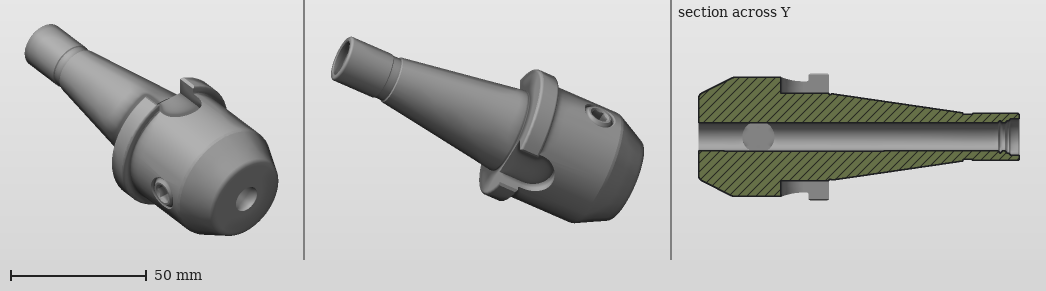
import cadquery as cq
import math

select_margin = 0.06

length = 118.4
tail_end = 17.2
cone_start = 21.1
cone_end = 69.1
flange_start = 70.2
flange_end = 77.8
flat_start = 80.0
nose_start = 105.6

tail_radius = 8.8
groove_radius = 8.4
groove_chamfer = tail_radius - groove_radius
taper_radius = 16.0
taper_slope = 7 / 48
cone_start_radius = taper_radius - taper_slope * (cone_end - cone_start)
flange_radius = 25.1
body_radius = 22.0
nose_angle = 26.8
nose_end_radius = body_radius - (length - nose_start) * math.tan(math.radians(nose_angle))

relief_radius = 15.6
relief_land = 0.4
relief_start = cone_end + relief_land
relief_fillet = 0.4

tail_fillet = 1.0
flange_fillet = 1.1
neck_fillet = 0.7
nose_shoulder_fillet = 2.5
nose_end_fillet = 2.4

slot_width = 16.1
slot_floor = 16.2
slot_end = 87.9
slot_chamfer = 1.1
slot_chamfer_drop = 0.53

flat_distance = 20.4

bore_radius = 5.1
root_radius = 5.9
root_depth = root_radius - bore_radius
entry_radius = 6.6
entry_chamfer = 0.4
entry_depth = 3.3
countersink_end = entry_depth + entry_radius - root_radius
crest_rise = 4.5
crest_start = crest_rise + root_depth
crest_end = 6.4
second_root = crest_end + root_depth
bore_start = second_root + root_depth

screw_x = 96.3
screw_radius = 5.9
screw_hole_chamfer = 0.5
screw_face = 21.9
screw_tip = bore_radius
screw_chamfer = 1.4
socket_flats = 5.9
socket_depth = 4.0
socket_countersink_radius = 3.8


def edges_at(solid, x, radius):
    """Circular edges around the X axis at one station and radius."""
    box = cq.selectors.BoxSelector(
        (x - select_margin, -radius - select_margin, -radius - select_margin),
        (x + select_margin, radius + select_margin, radius + select_margin),
        boundingbox=True,
    )
    smaller = cq.selectors.BoxSelector(
        (x - select_margin, -radius + select_margin, -radius + select_margin),
        (x + select_margin, radius - select_margin, radius - select_margin),
        boundingbox=True,
    )
    return solid.edges(box - smaller)


def turned(points):
    """Solid of revolution about the X axis from (x, radius) points."""
    return cq.Workplane("XZ").polyline(points).close().revolve(360, (0, 0, 0), (1, 0, 0))


def make_blank():
    blank = turned([
        (0, 0),
        (0, tail_radius),
        (tail_end, tail_radius),
        (tail_end + groove_chamfer, groove_radius),
        (cone_start - groove_chamfer, groove_radius),
        (cone_start, cone_start_radius),
        (cone_end, taper_radius),
        (relief_start, taper_radius),
        (relief_start, relief_radius),
        (flange_start, relief_radius),
        (flange_start, flange_radius),
        (flange_end, flange_radius),
        (flange_end, body_radius),
        (nose_start, body_radius),
        (length, nose_end_radius),
        (length, 0),
    ])
    blank = edges_at(blank, 0, tail_radius).fillet(tail_fillet)
    blank = edges_at(blank, flange_start, flange_radius).fillet(flange_fillet)
    blank = edges_at(blank, flange_start, relief_radius).fillet(relief_fillet)
    blank = edges_at(blank, flange_end, flange_radius).fillet(flange_fillet)
    blank = edges_at(blank, flange_end, body_radius).fillet(neck_fillet)
    blank = edges_at(blank, nose_start, body_radius).fillet(nose_shoulder_fillet)
    return edges_at(blank, length, nose_end_radius).fillet(nose_end_fillet)


def make_slot():
    """Drive slot cutter on the +Z side, with a round end and chamfers along its flange edges."""
    half_width = slot_width / 2
    cut_height = flange_radius - slot_floor
    arc_center = slot_end - half_width
    slot = (
        cq.Workplane("XY", origin=(0, 0, slot_floor))
        .moveTo(flange_start, -half_width)
        .lineTo(arc_center, -half_width)
        .threePointArc((slot_end, 0), (arc_center, half_width))
        .lineTo(flange_start, half_width)
        .close()
        .extrude(cut_height)
    )
    chamfer_half_width = half_width + slot_chamfer
    rim_height = math.sqrt(flange_radius ** 2 - chamfer_half_width ** 2)
    wall_height = rim_height - slot_chamfer_drop
    chamfer = (
        cq.Workplane("YZ", origin=(flange_start, 0, 0))
        .polyline([
            (-half_width, wall_height),
            (half_width, wall_height),
            (chamfer_half_width, rim_height),
            (chamfer_half_width, flange_radius),
            (-chamfer_half_width, flange_radius),
            (-chamfer_half_width, rim_height),
        ])
        .close()
        .extrude(flange_end - flange_start)
    )
    return slot.union(chamfer)


def make_flat():
    """Cutter for the flat on the +Y side, running from just behind the flange to the nose end."""
    origin = (flat_start, flat_distance, 0)
    size = (length - flat_start, flange_radius, 2 * flange_radius)
    return cq.Workplane("XY", origin=origin).box(*size, centered=(False, False, True))


def make_bore():
    return turned([
        (0, 0),
        (0, entry_radius + entry_chamfer),
        (entry_chamfer, entry_radius),
        (entry_depth, entry_radius),
        (countersink_end, root_radius),
        (crest_rise, root_radius),
        (crest_start, bore_radius),
        (crest_end, bore_radius),
        (second_root, root_radius),
        (bore_start, bore_radius),
        (length, bore_radius),
        (length, 0),
    ])


def screw_axis_plane(distance):
    """Plane at a distance from the axis on the -Y side, facing inwards to the axis."""
    return cq.Workplane(cq.Plane((screw_x, -distance, 0), (1, 0, 0), (0, 1, 0)))


def make_holder():
    slot = make_slot()
    holder = make_blank().cut(slot).cut(slot.rotate((0, 0, 0), (1, 0, 0), 180))
    holder = holder.cut(make_flat())
    screw_hole = screw_axis_plane(flange_radius).circle(screw_radius).extrude(flange_radius)
    holder = holder.cut(screw_hole)
    mouth_reach = screw_radius + select_margin
    mouth_depth = math.sqrt(body_radius ** 2 - screw_radius ** 2) - select_margin
    mouth = cq.selectors.BoxSelector(
        (screw_x - mouth_reach, -body_radius - select_margin, -mouth_reach),
        (screw_x + mouth_reach, -mouth_depth, mouth_reach),
        boundingbox=True,
    )
    holder = holder.edges(mouth).chamfer(screw_hole_chamfer)
    return holder.cut(make_bore())


def make_clamping_screw():
    screw = screw_axis_plane(screw_face).circle(screw_radius).extrude(screw_face - screw_tip)
    screw = screw.faces("<Y").chamfer(screw_chamfer)
    socket_corners = socket_flats / math.cos(math.pi / 6)
    socket = screw_axis_plane(screw_face).polygon(6, socket_corners).extrude(socket_depth)
    countersink = cq.Workplane(cq.Solid.makeCone(
        socket_countersink_radius, 0, socket_countersink_radius,
        pnt=cq.Vector(screw_x, -screw_face, 0), dir=cq.Vector(0, 1, 0),
    ))
    return screw.cut(socket).cut(countersink)


holder = make_holder()
clamping_screw = make_clamping_screw()

result = cq.Compound.makeCompound([holder.val(), clamping_screw.val()])